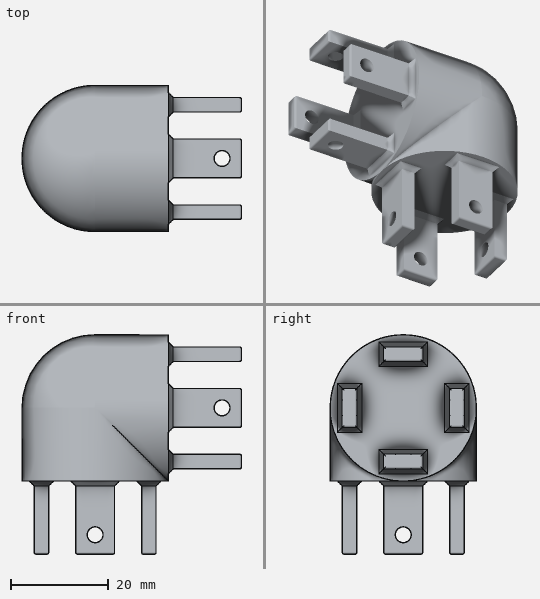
import cadquery as cq

body_radius = 15.0
arm_length = 15.0

prong_length = 15.0
prong_width = 8.0
prong_thickness = 3.0
prong_offset = 11.0
prong_count = 4
tip_fillet = 0.4
root_flare = 1.0
hole_diameter = 3.2
hole_from_tip = 4.0


def make_prong():
    """Prong standing on the XY plane, centred on Z, thin along X."""
    blade = (
        cq.Workplane("XY")
        .box(prong_thickness, prong_width, prong_length, centered=(True, True, False))
        .faces(">Z")
        .edges()
        .fillet(tip_fillet)
    )
    flare = (
        cq.Workplane("XY")
        .rect(prong_thickness + 2 * root_flare, prong_width + 2 * root_flare)
        .workplane(offset=root_flare)
        .rect(prong_thickness, prong_width)
        .loft(ruled=True)
    )
    hole = (
        cq.Workplane("YZ", origin=(-prong_thickness / 2, 0, 0))
        .center(0, prong_length - hole_from_tip)
        .circle(hole_diameter / 2)
        .extrude(prong_thickness)
    )
    return blade.union(flare).cut(hole)


def make_arm():
    """Cylinder rising from the elbow centre along +Z."""
    return cq.Workplane("XY").circle(body_radius).extrude(arm_length)


def make_prong_ring():
    """Evenly spaced prongs on the end of an arm that rises along +Z."""
    first_prong = make_prong().translate((prong_offset, 0, arm_length))
    angles = [index * 360 / prong_count for index in range(prong_count)]
    return [first_prong.rotate((0, 0, 0), (0, 0, 1), angle) for angle in angles]


def point_sideways(shape):
    """Turn a shape that rises along +Z so that it points along +X."""
    return shape.rotate((0, 0, 0), (0, 1, 0), 90)


def point_down(shape):
    """Turn a shape that rises along +Z so that it points along -Z."""
    return shape.rotate((0, 0, 0), (1, 0, 0), 180)


corner = cq.Workplane("XY").sphere(body_radius)
result = point_sideways(make_arm()).union(point_down(make_arm())).union(corner)

for prong in make_prong_ring():
    result = result.union(point_sideways(prong)).union(point_down(prong))